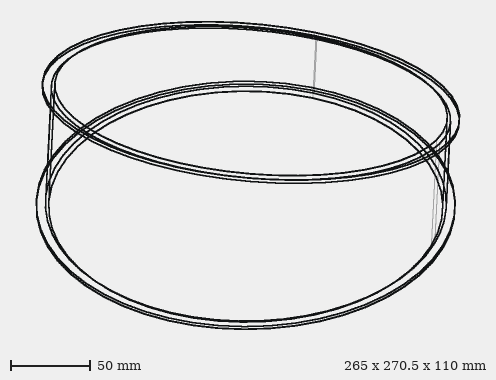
import cadquery as cq
import math

flange_diameter = 265.0
tube_diameter = 253.5
wall = 2.2
flange_thickness = 2.2
overall_height = 110.0
miter_angle = 15.0

flange_radius = flange_diameter / 2
tube_radius = tube_diameter / 2
top_center_z = overall_height - flange_radius * math.sin(math.radians(miter_angle))
top_center_y = top_center_z * math.tan(math.radians(miter_angle / 2))
top_normal = (0, math.sin(math.radians(miter_angle)), math.cos(math.radians(miter_angle)))

base_plane = cq.Plane.XY()
top_plane = cq.Plane(origin=(0, top_center_y, top_center_z), xDir=(1, 0, 0), normal=top_normal)


def leaning_cylinder(radius):
    """Solid between equal circles on the base and the tilted top plane."""
    base_circle = cq.Wire.makeCircle(radius, base_plane.origin, base_plane.zDir)
    top_circle = cq.Wire.makeCircle(radius, top_plane.origin, top_plane.zDir)
    return cq.Workplane(cq.Solid.makeLoft([base_circle, top_circle], True))


def flange_disc(plane, thickness):
    """Full disc; the bore is cut later together with the tube."""
    return cq.Workplane(plane).circle(flange_radius).extrude(thickness)


tube = leaning_cylinder(tube_radius)
base_flange = flange_disc(base_plane, flange_thickness)
top_flange = flange_disc(top_plane, -flange_thickness)
bore = leaning_cylinder(tube_radius - wall)

result = tube.union(base_flange).union(top_flange).cut(bore)